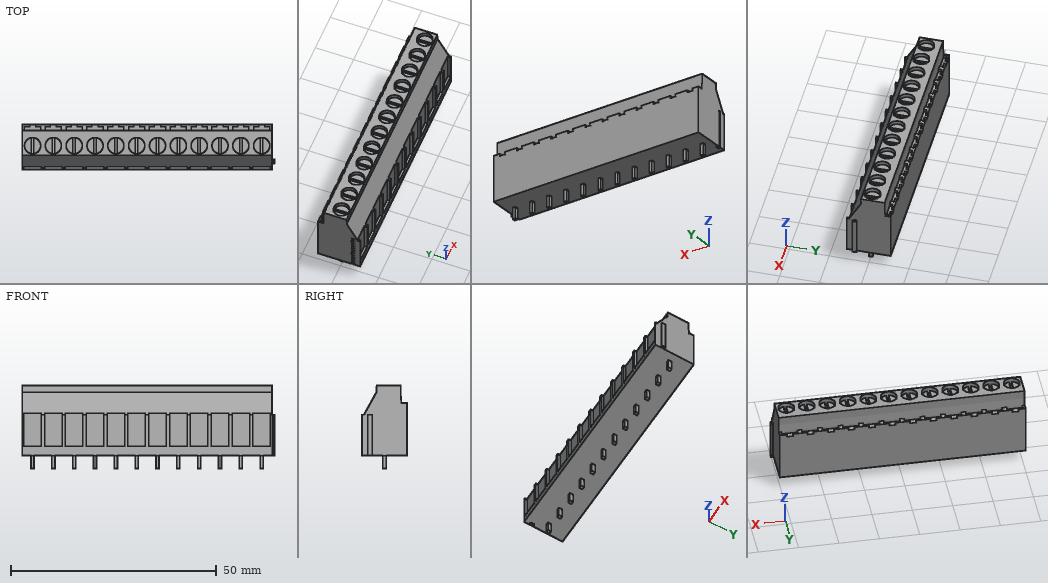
import cadquery as cq

POLES = 12
TOTAL_LENGTH = 61.6
TOTAL_HEIGHT = 20.3
DEPTH = 11.0

KEY_LENGTH = 0.7
KEY_NECK_LENGTH = 0.3
KEY_NECK_WIDTH = 0.4
KEY_HEAD_WIDTH = 1.1
KEY_Y = 2.05
KEY_CORNER_RADIUS = 0.2

PIN_LENGTH = 3.2
PIN_WIDTH = 0.8
PIN_DEPTH = 0.9

HOUSING_LENGTH = TOTAL_LENGTH - KEY_LENGTH
HOUSING_HEIGHT = TOTAL_HEIGHT - PIN_LENGTH
PITCH = HOUSING_LENGTH / POLES
FRONT_LEDGE_DEPTH = 0.5
FRONT_LEDGE_Z = 10.0
TOP_FRONT_Y = 3.6
SLOPE_TOP_Y = 3.5
SLOPE_TOP_Z = HOUSING_HEIGHT - 1.65
TOP_BACK_Y = DEPTH - 1.55
BACK_LEDGE_Y = DEPTH - 1.35
BACK_WALL_BREAK_Z = HOUSING_HEIGHT - 2.2
BACK_LEDGE_Z = HOUSING_HEIGHT - 4.25

WINDOW_WIDTH = 4.25
WINDOW_BOTTOM_Z = 2.2
WINDOW_DEPTH = 0.7

SCREW_DIAMETER = 3.95
SCREW_Y = 5.85
SCREW_RECESS = 1.05
SLOT_WIDTH = 0.6
SLOT_DEPTH = 0.6

T_WIDE_WIDTH = 3.95
T_NARROW_WIDTH = 1.5
T_NARROW_LENGTH = 0.55
T_RECESS_DEPTH = 0.6


def block(x_center, width, y_range, z_range):
    """Box centred on x_center that spans the given Y and Z ranges."""
    y_start, y_end = y_range
    z_start, z_end = z_range
    return (
        cq.Workplane("XY")
        .box(width, y_end - y_start, z_end - z_start, centered=(True, False, False))
        .translate((x_center, y_start, z_start))
    )


def housing():
    """Side profile extruded along the whole row of poles."""
    return (
        cq.Workplane("YZ")
        .polyline([
            (0, 0),
            (0, FRONT_LEDGE_Z),
            (FRONT_LEDGE_DEPTH, FRONT_LEDGE_Z),
            (SLOPE_TOP_Y, SLOPE_TOP_Z),
            (TOP_FRONT_Y, HOUSING_HEIGHT),
            (TOP_BACK_Y, HOUSING_HEIGHT),
            (TOP_BACK_Y, BACK_WALL_BREAK_Z),
            (BACK_LEDGE_Y, BACK_LEDGE_Z),
            (DEPTH, BACK_LEDGE_Z),
            (DEPTH, 0),
        ])
        .close()
        .extrude(HOUSING_LENGTH)
    )


def key_bar(x_face):
    """Upright T-shaped bar whose neck starts at x_face and points to +X."""
    neck = (
        cq.Workplane("XY")
        .box(KEY_LENGTH, KEY_NECK_WIDTH, FRONT_LEDGE_Z, centered=(False, True, False))
    )
    head = (
        cq.Workplane("XY")
        .box(KEY_LENGTH - KEY_NECK_LENGTH, KEY_HEAD_WIDTH, FRONT_LEDGE_Z, centered=(False, True, False))
        .translate((KEY_NECK_LENGTH, 0, 0))
        .edges("|Z and >X")
        .fillet(KEY_CORNER_RADIUS)
    )
    return neck.union(head).translate((x_face, KEY_Y, 0))


def front_window(x):
    return block(x, WINDOW_WIDTH, (0, WINDOW_DEPTH), (WINDOW_BOTTOM_Z, HOUSING_HEIGHT))


def screw_recess(x):
    """Round well down to the screw head, plus the driver slot across the head."""
    head_z = HOUSING_HEIGHT - SCREW_RECESS
    radius = SCREW_DIAMETER / 2
    well = (
        cq.Workplane("XY", origin=(x, SCREW_Y, head_z - SLOT_DEPTH))
        .circle(radius)
        .extrude(SCREW_RECESS + SLOT_DEPTH)
    )
    slot_y = (SCREW_Y - radius, SCREW_Y + radius)
    head = block(x, SCREW_DIAMETER, slot_y, (head_z - SLOT_DEPTH, head_z))
    slot = block(x, SLOT_WIDTH, slot_y, (head_z - SLOT_DEPTH, head_z))
    return well.cut(head.cut(slot))


def back_recess(x):
    """T-shaped recess sunk into the back ledge and open to the back."""
    z_range = (BACK_LEDGE_Z - T_RECESS_DEPTH, BACK_LEDGE_Z)
    wide = block(x, T_WIDE_WIDTH, (BACK_LEDGE_Y, DEPTH - T_NARROW_LENGTH), z_range)
    narrow = block(x, T_NARROW_WIDTH, (BACK_LEDGE_Y, DEPTH), z_range)
    return wide.union(narrow)


def pin(x):
    y_range = ((DEPTH - PIN_DEPTH) / 2, (DEPTH + PIN_DEPTH) / 2)
    return block(x, PIN_WIDTH, y_range, (-PIN_LENGTH, 0))


result = housing().cut(key_bar(0)).union(key_bar(HOUSING_LENGTH))

for pole in range(POLES):
    pole_x = (pole + 0.5) * PITCH
    result = (
        result
        .cut(front_window(pole_x))
        .cut(screw_recess(pole_x))
        .cut(back_recess(pole_x))
        .union(pin(pole_x))
    )